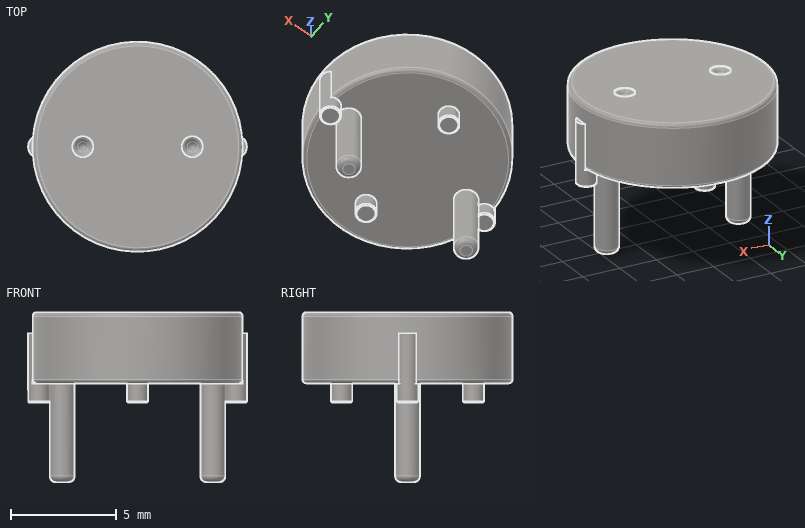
import cadquery as cq
import math

housing_diameter = 10.0
housing_height = 3.4
housing_edge_radius = 0.2

dimple_mouth_radius = 0.5
dimple_arc_radius = 0.26
dimple_step = 0.04
dimple_offset = 2.6

post_diameter = 1.02
post_drop = 0.91
post_chamfer = 0.06
foot_offset = 3.14

overall_width = 10.42
post_top = housing_height - 1.0
post_offset = (overall_width - post_diameter) / 2

pin_diameter = 1.2
pin_length = 8.1 - housing_height
pin_end_radius = 0.3
pin_offset = 3.58


def disc(diameter, height):
    """Plain cylinder on the housing axis, rising from z = 0."""
    return cq.Workplane("XY").circle(diameter / 2).extrude(height)


def post_cylinder(top):
    """Upright round bar from the post's chamfered foot up to the given height."""
    bar = cq.Workplane("XY").workplane(offset=-post_drop).circle(post_diameter / 2)
    return bar.extrude(post_drop + top).faces("<Z").chamfer(post_chamfer)


def dimple_cutter():
    """Revolved dimple: a short straight wall, then a convex arc running into a concave one."""
    join_radius = dimple_mouth_radius / 2
    wall_angle = math.asin(join_radius / dimple_arc_radius)
    arc_depth = dimple_arc_radius * (1 - math.cos(wall_angle))
    mid_run = dimple_arc_radius * math.sin(wall_angle / 2)
    mid_drop = dimple_arc_radius * (1 - math.cos(wall_angle / 2))
    join_z = -dimple_step - arc_depth
    bottom_z = join_z - arc_depth
    profile = (
        cq.Workplane("XZ")
        .lineTo(dimple_mouth_radius, 0)
        .lineTo(dimple_mouth_radius, -dimple_step)
        .threePointArc((dimple_mouth_radius - mid_run, -dimple_step - mid_drop), (join_radius, join_z))
        .threePointArc((mid_run, bottom_z + mid_drop), (0, bottom_z))
        .close()
    )
    return profile.revolve(360, (0, 0, 0), (0, 1, 0))


def make_housing():
    """Rounded disc with two dimples on top and two short feet underneath."""
    body = disc(housing_diameter, housing_height).faces("<Z or >Z").edges().fillet(housing_edge_radius)
    for side in (-1, 1):
        body = body.cut(dimple_cutter().translate((side * dimple_offset, 0, housing_height)))
        body = body.union(post_cylinder(0).translate((0, side * foot_offset, 0)))
    return body


def make_side_post(side):
    """Post whose upper part is cut away to fit the housing wall and underside."""
    post = post_cylinder(post_top).translate((side * post_offset, 0, 0))
    return post.cut(disc(housing_diameter, housing_height))


def make_pin(side):
    """Long pin with a rounded lower end, butting against the housing underside."""
    pin = disc(pin_diameter, -pin_length).faces("<Z").edges().fillet(pin_end_radius)
    return pin.translate((side * pin_offset, 0, 0))


housing = make_housing()
side_posts = [make_side_post(side) for side in (-1, 1)]
pins = [make_pin(side) for side in (-1, 1)]

bodies = [housing, *side_posts, *pins]
result = cq.Compound.makeCompound([body.solids().val() for body in bodies])